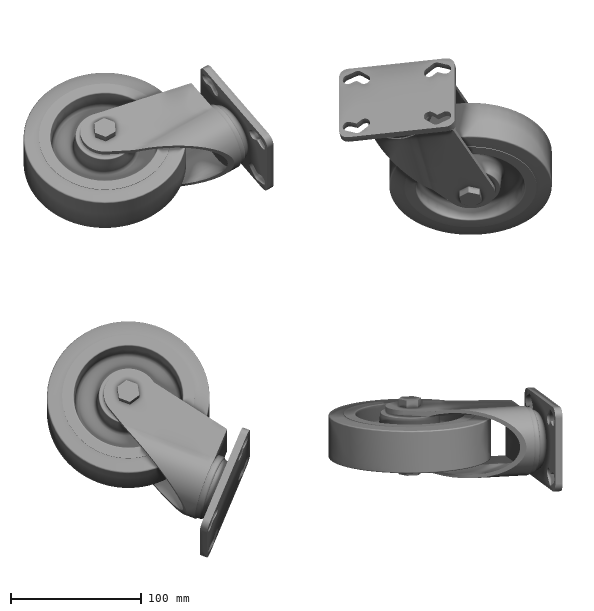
import cadquery as cq
import math


tread_radius = 125.0 / 2
rim_radius = 101.6 / 2
tread_edge_half_width = 16.6
tread_edge_fillet = 1.1
rim_step = 0.5
rim_half_width = 17.7
recess_radius = 41.9
recess_draft = 1.5
recess_edge_fillet = 1.0
recess_corner_fillet = 2.7
hub_top_radius = 22.7
hub_base_radius = 24.5
hub_half_width = 18.8
hub_corner_fillet = 2.5
hub_edge_fillet = 0.6
web_half_width = 3.2

axle_spacer_diameter = 16.3
bolt_across_flats = 15.8
bolt_head_height = 5.8

overall_length = 161
plate_top_y = overall_length - tread_radius
plate_thickness = 5.8
plate_length = 90.2
plate_width = 66.0
plate_corner_radius = 7.1
swivel_x = 40.0
plate_bottom_y = plate_top_y - plate_thickness

slot_width = 8.5
slot_inner_end = (25.3, 21.1)
slot_bend = (30.8, 25.6)
slot_outer_end = (38.0, 22.5)

cap_radius = 51.2 / 2
cap_rim_height = 5.2
cap_rim_fillet = 1.8
dome_mid_radius = 22.4
dome_mid_height = 8.9
dome_top_radius = 19.0

fork_top_y = 81.3
fork_wall = 3.7
fork_round_wall = 2.5
fork_top_thickness = 4.7
fork_half_width = 23.7
fork_round_radius = 26.7
fork_bend_x = 25.5
fork_end_radius = 18.8
fork_back_x = -0.8
fork_front_corner_y = 74.7


def round_circles(body, radius, half_width, fillet):
    """Fillet the two circles of this radius, one on each side of the wheel."""
    tolerance = 0.02

    def is_match(edge):
        return (
            edge.geomType() == "CIRCLE"
            and abs(edge.radius() - radius) < tolerance
            and abs(abs(edge.Center().z) - half_width) < tolerance
        )

    return body.newObject([edge for edge in body.edges().vals() if is_match(edge)]).fillet(fillet)


def make_wheel():
    """Revolve the wheel section about Z and round its edges and corners."""
    recess_floor_radius = recess_radius - recess_draft
    upper_side = [
        (tread_radius, tread_edge_half_width),
        (rim_radius, rim_half_width - rim_step),
        (rim_radius, rim_half_width),
        (recess_radius, rim_half_width),
        (recess_floor_radius, web_half_width),
        (hub_base_radius, web_half_width),
        (hub_top_radius, hub_half_width),
        (0, hub_half_width),
    ]
    lower_side = [(radius, -height) for radius, height in reversed(upper_side)]
    wheel = (
        cq.Workplane("XZ")
        .polyline(upper_side + lower_side)
        .close()
        .revolve(360, (0, 0, 0), (0, 1, 0))
    )
    wheel = round_circles(wheel, tread_radius, tread_edge_half_width, tread_edge_fillet)
    wheel = round_circles(wheel, recess_radius, rim_half_width, recess_edge_fillet)
    wheel = round_circles(wheel, recess_floor_radius, web_half_width, recess_corner_fillet)
    wheel = round_circles(wheel, hub_base_radius, web_half_width, hub_corner_fillet)
    return round_circles(wheel, hub_top_radius, hub_half_width, hub_edge_fillet)


def make_axle():
    """Spacer through the wheel with a hexagon head outside each fork leg."""
    spacer = (
        cq.Workplane("XY")
        .circle(axle_spacer_diameter / 2)
        .extrude(fork_half_width, both=True)
    )
    head = (
        cq.Workplane("XY", origin=(0, 0, fork_half_width))
        .polygon(6, bolt_across_flats, circumscribed=True)
        .extrude(bolt_head_height)
    )
    return spacer.union(head).union(head.mirror("XY"))


def make_slot_leg(start, end):
    """Round-ended slot between two offsets from the plate centre."""
    run = end[0] - start[0]
    rise = end[1] - start[1]
    return (
        cq.Workplane("XY")
        .slot2D(math.hypot(run, rise) + slot_width, slot_width)
        .extrude(plate_thickness)
        .rotate((0, 0, 0), (0, 0, 1), math.degrees(math.atan2(rise, run)))
        .translate(((start[0] + end[0]) / 2, (start[1] + end[1]) / 2, 0))
    )


def make_plate():
    """Plate lying flat, with a bent slot in each corner, then stood upright."""
    plate = (
        cq.Workplane("XY")
        .rect(plate_length, plate_width)
        .extrude(plate_thickness)
        .edges("|Z")
        .fillet(plate_corner_radius)
    )
    slot = make_slot_leg(slot_inner_end, slot_bend).union(make_slot_leg(slot_bend, slot_outer_end))
    slots = slot.union(slot.mirror("YZ"))
    plate = plate.cut(slots).cut(slots.mirror("XZ"))
    return plate.rotate((0, 0, 0), (1, 0, 0), 90).translate((swivel_x, plate_top_y, 0))


def make_cap():
    """Domed bearing cap between the fork and the plate."""
    dome_base_y = fork_top_y + cap_rim_height
    rim_side_y = dome_base_y - cap_rim_fillet
    dome_base_radius = cap_radius - cap_rim_fillet
    fillet_reach = cap_rim_fillet * math.sqrt(0.5)
    return (
        cq.Workplane("XY", origin=(swivel_x, 0, 0))
        .moveTo(0, fork_top_y)
        .lineTo(cap_radius, fork_top_y)
        .lineTo(cap_radius, rim_side_y)
        .threePointArc(
            (dome_base_radius + fillet_reach, rim_side_y + fillet_reach),
            (dome_base_radius, dome_base_y),
        )
        .threePointArc(
            (dome_mid_radius, fork_top_y + dome_mid_height),
            (dome_top_radius, plate_bottom_y),
        )
        .lineTo(0, plate_bottom_y)
        .close()
        .revolve(360, (0, 0, 0), (0, 1, 0))
    )


def make_fork_outside():
    """Solid column along Y: flat sides blended by hollow bends into a round front."""
    centre_to_bend = swivel_x - fork_bend_x
    bend_radius = (centre_to_bend**2 + fork_half_width**2 - fork_round_radius**2) / (
        2 * (fork_round_radius - fork_half_width)
    )
    bend_angle = math.asin(centre_to_bend / (bend_radius + fork_round_radius))

    def bend_point(angle):
        x = fork_bend_x + bend_radius * math.sin(angle)
        z = fork_half_width + bend_radius * (1 - math.cos(angle))
        return x, z

    mid_x, mid_z = bend_point(bend_angle / 2)
    end_x, end_z = bend_point(bend_angle)
    return (
        cq.Workplane("XZ", origin=(0, fork_top_y, 0))
        .moveTo(-fork_end_radius, fork_half_width)
        .lineTo(fork_bend_x, fork_half_width)
        .threePointArc((mid_x, mid_z), (end_x, end_z))
        .threePointArc((swivel_x + fork_round_radius, 0), (end_x, -end_z))
        .threePointArc((mid_x, -mid_z), (fork_bend_x, -fork_half_width))
        .lineTo(-fork_end_radius, -fork_half_width)
        .close()
        .extrude(fork_top_y + fork_end_radius)
    )


def make_fork_inside():
    """Space between the fork legs: a flat-sided channel joined to a round front."""
    half_gap = fork_half_width - fork_wall
    ceiling_y = fork_top_y - fork_top_thickness
    depth = ceiling_y + fork_end_radius
    channel = (
        cq.Workplane("XZ", origin=(0, ceiling_y, 0))
        .moveTo(-fork_end_radius, -half_gap)
        .lineTo(swivel_x, -half_gap)
        .lineTo(swivel_x, half_gap)
        .lineTo(-fork_end_radius, half_gap)
        .close()
        .extrude(depth)
    )
    front = (
        cq.Workplane("XZ", origin=(swivel_x, ceiling_y, 0))
        .circle(fork_round_radius - fork_round_wall)
        .extrude(depth)
    )
    return channel.union(front)


def tangent_point(x, y, side):
    """Point where a line from (x, y) touches the round lower end of the fork."""
    angle = math.atan2(y, x) + side * math.acos(fork_end_radius / math.hypot(x, y))
    return fork_end_radius * math.cos(angle), fork_end_radius * math.sin(angle)


def make_fork():
    """Hollow column trimmed to the tapered side outline."""
    front_x = swivel_x + fork_round_radius
    outline = (
        cq.Workplane("XY")
        .moveTo(fork_back_x, fork_top_y)
        .lineTo(front_x, fork_top_y)
        .lineTo(front_x, fork_front_corner_y)
        .lineTo(*tangent_point(front_x, fork_front_corner_y, -1))
        .threePointArc((0, -fork_end_radius), tangent_point(fork_back_x, fork_top_y, 1))
        .close()
        .extrude(fork_round_radius, both=True)
    )
    return make_fork_outside().cut(make_fork_inside()).intersect(outline)


result = make_plate().union(make_cap()).union(make_fork()).union(make_axle()).union(make_wheel())